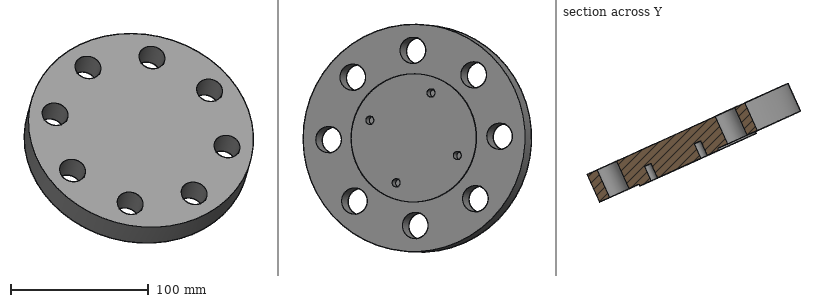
import cadquery as cq

flange_diameter = 165.1
flange_thickness = 22.1
tilt_angle = 29.5

face_diameter = 93.1
face_height = 1.5

bolt_count = 8
bolt_circle_diameter = 127.1
bolt_hole_diameter = 19.0

small_count = 4
small_circle_diameter = 70.0
small_hole_diameter = 6.0
small_hole_depth = 11.5


def hole_pattern(count, circle_diameter, hole_diameter, bottom, height):
    """Cylinders evenly spaced on a circle, half a pitch off the X axis."""
    half_pitch = 180 / count
    return (
        cq.Workplane("XY", origin=(0, 0, bottom))
        .polarArray(circle_diameter / 2, half_pitch, 360, count)
        .circle(hole_diameter / 2)
        .extrude(height)
    )


disc = cq.Workplane("XY").circle(flange_diameter / 2).extrude(flange_thickness)
raised_face = cq.Workplane("XY").circle(face_diameter / 2).extrude(-face_height)

bolt_holes = hole_pattern(
    bolt_count, bolt_circle_diameter, bolt_hole_diameter, 0, flange_thickness
)
small_holes = hole_pattern(
    small_count, small_circle_diameter, small_hole_diameter, -face_height, small_hole_depth
)

flange = disc.union(raised_face).cut(bolt_holes).cut(small_holes)
result = flange.rotate((0, 0, 0), (0, 1, 0), tilt_angle)